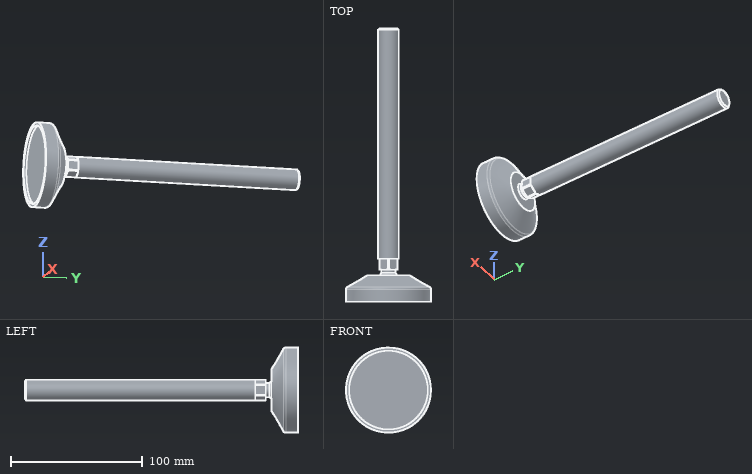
import cadquery as cq
import math

total_length = 208.0
foot_diameter = 65.0
stem_diameter = 16.0
neck_diameter = 11.0

rim_height = 9.5
shoulder_height = 11.5
shoulder_radius = 31.2
foot_height = 20.4
crown_radius = stem_diameter
flank_sag = 0.2
recess_diameter = 60.0
recess_depth = 2.0

collar_diameter = 13.0
collar_top = 22.0
hex_bottom = 24.5
hex_top = 32.7
hex_across_flats = 14.4
hex_chamfer = 0.5
tip_chamfer = 1.2


def revolve_about_y(outline):
    """Close an XY outline and turn it around the Y axis."""
    return outline.close().revolve(360, (0, 0, 0), (0, 1, 0))


def rod(diameter, start, end):
    """Cylinder along Y between two heights."""
    return cq.Workplane("XZ", origin=(0, start, 0)).circle(diameter / 2).extrude(start - end)


def make_foot():
    """Round foot with a rounded shoulder, concave flank and shallow underside recess."""
    foot_radius = foot_diameter / 2
    rise = foot_height - shoulder_height
    run = shoulder_radius - crown_radius
    slope_length = math.hypot(rise, run)
    flank_middle = (
        (shoulder_radius + crown_radius) / 2 - flank_sag * rise / slope_length,
        (shoulder_height + foot_height) / 2 - flank_sag * run / slope_length,
    )
    outline = (
        cq.Workplane("XY")
        .lineTo(foot_radius, 0)
        .lineTo(foot_radius, rim_height)
        .tangentArcPoint((shoulder_radius, shoulder_height), relative=False)
        .threePointArc(flank_middle, (crown_radius, foot_height))
        .lineTo(0, foot_height)
    )
    return revolve_about_y(outline).cut(rod(recess_diameter, 0, recess_depth))


def make_neck():
    """Slim neck that flares where it enters the foot."""
    outline = (
        cq.Workplane("XY")
        .moveTo(0, foot_height)
        .lineTo(collar_diameter / 2, foot_height)
        .lineTo(neck_diameter / 2, collar_top)
        .lineTo(neck_diameter / 2, hex_bottom)
        .lineTo(0, hex_bottom)
    )
    return revolve_about_y(outline)


def make_hexagon():
    """Wrench hexagon, corners on +Z and -Z, trimmed to the stem diameter and chamfered below."""
    corner_diameter = hex_across_flats / math.cos(math.pi / 6)
    hexagon = (
        cq.Workplane("XZ", origin=(0, hex_bottom, 0))
        .transformed(rotate=(0, 0, 90))
        .polygon(6, corner_diameter)
        .extrude(hex_bottom - hex_top)
    )
    envelope = rod(stem_diameter, hex_bottom, hex_top).faces("<Y").chamfer(hex_chamfer)
    return hexagon.intersect(envelope)


def make_stem():
    """Plain stem with a chamfered tip."""
    return rod(stem_diameter, hex_top, total_length).faces(">Y").chamfer(tip_chamfer)


result = make_foot().union(make_neck()).union(make_hexagon()).union(make_stem())